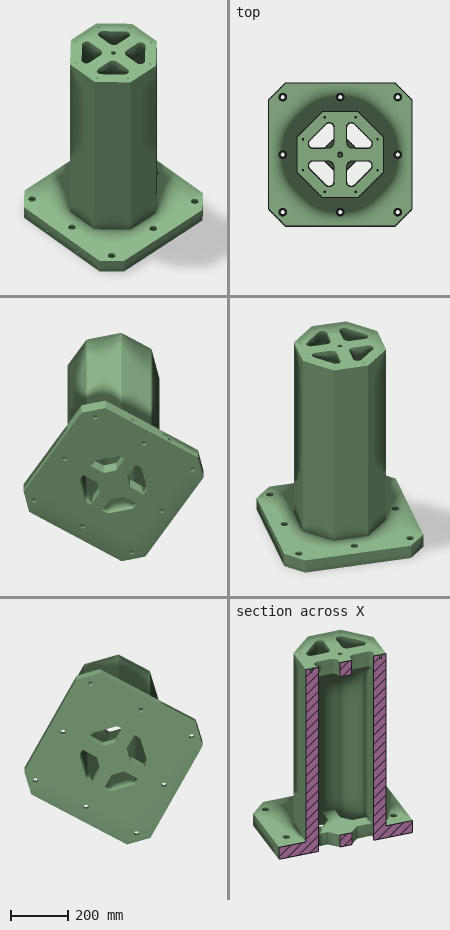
import cadquery as cq
import math

base_width = 500.0
base_thickness = 50.0
base_corner_cut = 60.0
total_height = 750.0

column_width = 300.0
column_wall = 40.0
cavity_corner_radius = 15.0

cross_arm_width = 45.0
top_cross_depth = 60.0
arm_end_radius = 15.0
arm_inner_radius = 20.0

bolt_offset = 200.0
bolt_diameter = 18.0
counterbore_diameter = 26.0
counterbore_depth = 18.0
lift_hole_diameter = 17.0
lift_hole_depth = 40.0
side_hole_diameter = 14.0
side_hole_depth = 30.0
side_hole_spacing = 150.0
side_hole_height = 18.0
pin_hole_diameter = 5.0
pin_hole_depth = 15.0
pin_hole_inset = 20.0
drill_tip_angle = 118.0

cavity_width = column_width - 2 * column_wall
octagon_half_step = 22.5
base_hub_width = cross_arm_width / math.tan(math.radians(octagon_half_step))
octagon_vertex_angles = [octagon_half_step + 2 * octagon_half_step * i for i in range(8)]


def octagon_vertices(width_across_flats):
    radius = width_across_flats / 2 / math.cos(math.radians(octagon_half_step))
    return [
        (radius * math.cos(math.radians(angle)), radius * math.sin(math.radians(angle)))
        for angle in octagon_vertex_angles
    ]


def octagon_prism(width_across_flats, bottom, height):
    outline = cq.Workplane("XY").workplane(offset=bottom).polyline(octagon_vertices(width_across_flats))
    return outline.close().extrude(height)


def cross(bottom, depth):
    """Two crossed bars that span the cavity from wall to wall."""
    floor = cq.Workplane("XY").workplane(offset=bottom)
    bar_along_x = floor.rect(cavity_width, cross_arm_width).extrude(depth)
    bar_along_y = floor.rect(cross_arm_width, cavity_width).extrude(depth)
    return bar_along_x.union(bar_along_y)


def fillet_edges_at(solid, edge_middles, radius):
    """Round the edges whose middles are the given points."""
    edges = solid.newObject([])
    for middle in edge_middles:
        edges = edges.add(solid.edges(cq.NearestToPointSelector(middle)))
    return edges.fillet(radius)


def drilled_hole(diameter, depth, mouth, direction):
    """Blind hole with a conical tip, starting at the mouth point."""
    radius = diameter / 2
    tip_length = radius / math.tan(math.radians(drill_tip_angle / 2))
    mouth_point = cq.Vector(*mouth)
    axis = cq.Vector(*direction)
    bore = cq.Solid.makeCylinder(radius, depth, mouth_point, axis)
    tip = cq.Solid.makeCone(radius, 0, tip_length, mouth_point + axis * depth, axis)
    return cq.Workplane(obj=bore.fuse(tip))


base = cq.Workplane("XY").box(base_width, base_width, base_thickness, centered=(True, True, False))
base = base.edges("|Z").chamfer(base_corner_cut)
column = octagon_prism(column_width, base_thickness, total_height - base_thickness)
cavity = octagon_prism(cavity_width, 0, total_height).edges("|Z").fillet(cavity_corner_radius)
body = base.union(column).cut(cavity)

top_cross_bottom = total_height - top_cross_depth
top_cross_middle = total_height - top_cross_depth / 2
body = body.union(cross(top_cross_bottom, top_cross_depth))
half_arm = cross_arm_width / 2
half_cavity = cavity_width / 2
inner_corners = [(x, y, top_cross_middle) for x in (-half_arm, half_arm) for y in (-half_arm, half_arm)]
arm_end_edges = []
for side in (-1, 1):
    end = side * half_cavity
    arm_end_edges += [(end, 0, top_cross_bottom), (0, end, top_cross_bottom)]
    for edge in (-half_arm, half_arm):
        arm_end_edges += [(end, edge, top_cross_middle), (edge, end, top_cross_middle)]
body = fillet_edges_at(body, inner_corners, arm_inner_radius)
body = fillet_edges_at(body, arm_end_edges, arm_end_radius)

body = body.union(cross(0, base_thickness)).union(octagon_prism(base_hub_width, 0, base_thickness))

bolt_places = [
    (x, y)
    for x in (-bolt_offset, 0, bolt_offset)
    for y in (-bolt_offset, 0, bolt_offset)
    if (x, y) != (0, 0)
]
bolt_centers = cq.Workplane("XY").pushPoints(bolt_places)
body = body.cut(bolt_centers.circle(bolt_diameter / 2).extrude(base_thickness))
counterbore_floor = cq.Workplane("XY").workplane(offset=base_thickness - counterbore_depth)
counterbore_centers = counterbore_floor.pushPoints(bolt_places)
body = body.cut(counterbore_centers.circle(counterbore_diameter / 2).extrude(counterbore_depth))

body = body.cut(drilled_hole(lift_hole_diameter, lift_hole_depth, (0, 0, total_height), (0, 0, -1)))

for x, y in octagon_vertices(column_width - 2 * pin_hole_inset):
    body = body.cut(drilled_hole(pin_hole_diameter, pin_hole_depth, (x, y, total_height), (0, 0, -1)))

for x in (-side_hole_spacing / 2, side_hole_spacing / 2):
    mouth = (x, -base_width / 2, side_hole_height)
    body = body.cut(drilled_hole(side_hole_diameter, side_hole_depth, mouth, (0, 1, 0)))

result = body